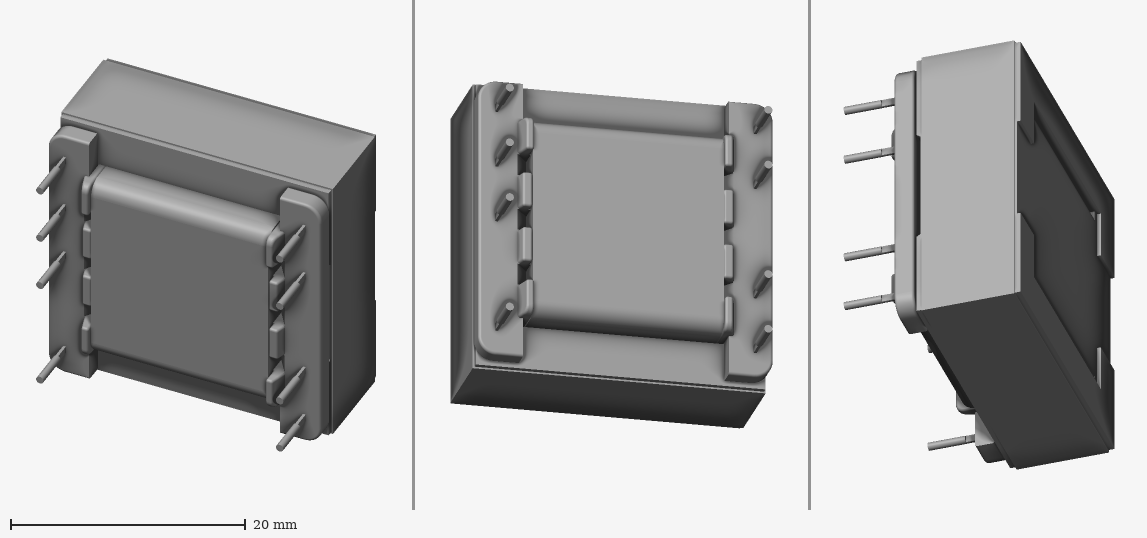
import cadquery as cq


core_width = 25.35
core_height = 25.65
core_depth = 9.35
window_half = 9.0
post_height = 11.43
notch_depth = 0.35
front_notch_height = 10.45
front_notch_floor = 10.02
back_notch_height = 9.45

core_front = -core_depth / 2
notch_front = core_front + notch_depth
notch_back = core_depth / 2 - notch_depth

tape_thickness = 0.15
tape_depth = 8.3

flange_inner = 8.35
tube_wall = 0.78
winding_radius = 1.3
winding_build = window_half - post_height / 2
post_back = notch_back - winding_build

rail_span = 25.81
rail_height = 25.04
rail_thickness = 1.8
rail_corner_radius = 1.6
rail_edge_radius = 0.25
rail_gap = 0.18
rail_back = core_front - rail_gap
rail_front = rail_back - rail_thickness

tab_edge_radius = 0.23
tab_corner_radius = 0.75
tab_base_x = 9.48
tall_tab = 1.53
tall_tab_taper = tab_base_x - window_half
low_tab = 0.9
slot_width = 1.9
ramp_depth = 1.64

pin_pitch = 5.0
pin_x = 11.32
pin_diameter = 0.7
pin_neck_thickness = 0.25
pin_neck_length = tall_tab
overall_depth = 16.23
pin_tip = core_depth / 2 - overall_depth
left_pin_steps = (-2, 0, 1, 2)
right_pin_steps = (-2, -1, 1, 2)


def block(x_range, y_range, z_range):
    """Box between the given limits along each axis."""
    spans = [high - low for low, high in (x_range, y_range, z_range)]
    corner = (x_range[0], y_range[0], z_range[0])
    return cq.Workplane("XY").box(*spans, centered=False).translate(corner)


def centred(size):
    """Limits of a length centred on zero."""
    return (-size / 2, size / 2)


def extruded_along_x(points, x_start, x_end):
    """Prism with a (Y, Z) outline between two X positions."""
    return cq.Workplane("YZ").workplane(offset=x_start).polyline(points).close().extrude(x_end - x_start)


def extruded_along_z(points, z_range):
    """Prism with an (X, Y) outline between two Z positions."""
    low, high = z_range
    return cq.Workplane("XY").workplane(offset=low).polyline(points).close().extrude(high - low)


def make_core_half():
    """Half on the +X side: end wall, two outer legs and the centre post."""
    end_x = core_width / 2
    half = block((0, end_x), centred(core_depth), centred(core_height))
    half = half.cut(block((0, window_half), centred(core_depth), centred(2 * window_half)))
    half = half.union(block((0, window_half), (notch_front, post_back), centred(post_height)))
    front_notch = extruded_along_x(
        [
            (core_front, -front_notch_height / 2),
            (core_front, front_notch_height / 2),
            (notch_front, front_notch_floor / 2),
            (notch_front, -front_notch_floor / 2),
        ],
        window_half,
        end_x,
    )
    back_notch = block((window_half, end_x), (notch_back, core_depth / 2), centred(back_notch_height))
    return half.cut(front_notch).cut(back_notch)


def make_tape():
    """Band round the four outer sides of the core."""
    outer_width = core_width + 2 * tape_thickness
    outer_height = core_height + 2 * tape_thickness
    band = block(centred(outer_width), centred(tape_depth), centred(outer_height))
    return band.cut(block(centred(core_width), centred(tape_depth), centred(core_height)))


def make_post_sleeve(wall, x_half):
    """Solid block that encloses the post with the given wall."""
    y_range = (notch_front - wall, post_back + wall)
    return block((-x_half, x_half), y_range, centred(post_height + 2 * wall))


def make_winding():
    """Rounded coil that fits round the bobbin tube."""
    coil = make_post_sleeve(winding_build, flange_inner).edges("|X").fillet(winding_radius)
    return coil.cut(make_post_sleeve(tube_wall, flange_inner))


def make_rails():
    """One rounded plate with its middle removed, which leaves a rail on each side."""
    plate = block(centred(rail_span), (rail_front, rail_back), centred(rail_height))
    plate = plate.edges("|Y").fillet(rail_corner_radius)
    plate = plate.faces("<Y or >Y").edges().fillet(rail_edge_radius)
    return plate.cut(block(centred(2 * window_half), (rail_front, rail_back), centred(rail_height)))


def make_flange():
    """End plate of the winding space on the +X side."""
    plate = block((flange_inner, window_half), (rail_front, notch_back), centred(2 * window_half))
    return plate.edges("|Y and <X").fillet(tab_edge_radius)


def make_tab(length, z_range, has_outer_corner):
    """Tapered tab on the +X side that stands on the rail front plane."""
    taper = tall_tab_taper * length / tall_tab
    tip_y = rail_front - length
    outline = [
        (flange_inner, rail_front),
        (tab_base_x, rail_front),
        (tab_base_x - taper, tip_y),
        (flange_inner, tip_y),
    ]
    tab = extruded_along_z(outline, z_range)
    if has_outer_corner:
        tab = tab.faces("<Y").edges(">Z").fillet(tab_corner_radius)
    return tab.edges("not(>Y)").fillet(tab_edge_radius)


def make_wire_slot(z_centre):
    """Wedge whose sloped floor runs from the rail front down to the inner flange face."""
    outline = [
        (tab_base_x, rail_front),
        (flange_inner, rail_front),
        (flange_inner, rail_front + ramp_depth),
    ]
    return extruded_along_z(outline, (z_centre - slot_width / 2, z_centre + slot_width / 2))


def make_flange_with_tabs():
    """Flange on the +X side with two tall and two low tabs, and the slots between them."""
    low_range = (slot_width / 2, pin_pitch - slot_width / 2)
    tall_range = (pin_pitch + slot_width / 2, window_half)
    tabs = make_tab(low_tab, low_range, False).union(make_tab(tall_tab, tall_range, True))
    return make_flange().union(tabs).union(tabs.mirror("XY"))


def make_pin(x, z):
    """Round pin with a flattened neck next to the rail."""
    neck_end = rail_front - pin_neck_length
    pin = cq.Workplane("XZ", origin=(x, rail_front, z)).circle(pin_diameter / 2)
    pin = pin.extrude(rail_front - pin_tip)
    neck_space = block(centred(pin_diameter), (neck_end, rail_front), centred(pin_diameter))
    neck_core = block(centred(pin_neck_thickness), (neck_end, rail_front), centred(pin_diameter))
    return pin.cut(neck_space.cut(neck_core).translate((x, 0, z)))


def make_bobbin():
    """Rails, flanges, tabs, tube round the post and pins in one piece."""
    flange = make_flange_with_tabs()
    bobbin = make_rails().union(flange).union(flange.mirror("YZ"))
    bobbin = bobbin.union(make_post_sleeve(tube_wall, flange_inner))
    for step in (-1, 0, 1):
        slot = make_wire_slot(step * pin_pitch)
        bobbin = bobbin.cut(slot).cut(slot.mirror("YZ"))
    bobbin = bobbin.cut(make_post_sleeve(0, window_half))
    for side, steps in ((-1, left_pin_steps), (1, right_pin_steps)):
        for step in steps:
            bobbin = bobbin.union(make_pin(side * pin_x, step * pin_pitch))
    return bobbin


right_core = make_core_half()
left_core = right_core.mirror("YZ")
tape = make_tape()
winding = make_winding()
bobbin = make_bobbin()

result = cq.Compound.makeCompound(
    [left_core.val(), right_core.val(), tape.val(), winding.val(), bobbin.val()]
)